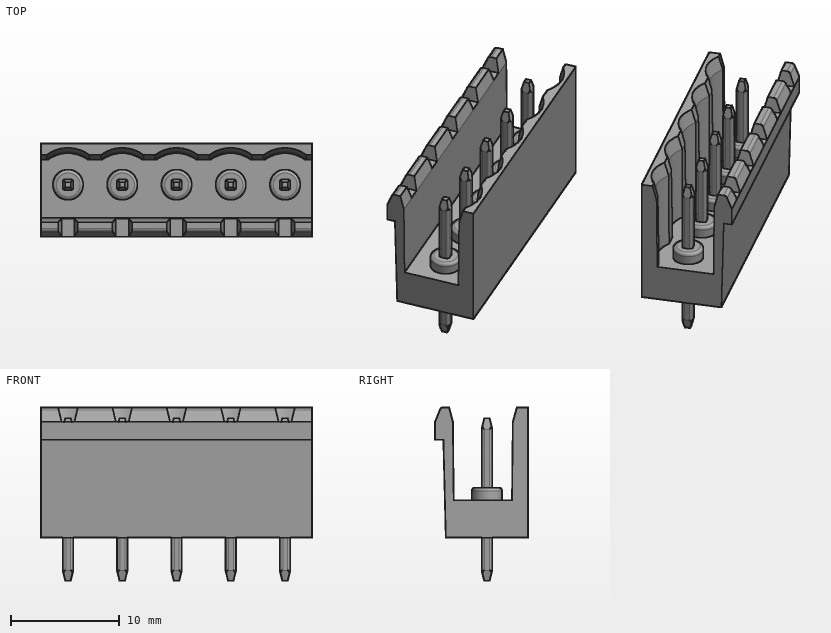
import cadquery as cq


pin_count = 5
pitch = 5.0
housing_length = pin_count * pitch
housing_height = 12.0
floor_z = 3.45
bevel_z = 10.65

back_y = 3.8
back_inner_floor_y = 2.3
back_inner_bevel_y = 2.38
back_inner_top_y = 2.75

scallop_radius = 3.2
scallop_peak_floor_y = 2.9
scallop_peak_bevel_y = 3.08
scallop_peak_top_y = 3.4

housing_depth = 8.6
front_inner_floor_y = -3.05
front_inner_bevel_y = -3.12
front_inner_top_y = -3.48
lip_front_y = back_y - housing_depth
lip_top_front_y = -4.25
lip_bottom_z = 9.0
lip_edge_radius = 0.35
front_outer_lip_y = -4.02
front_outer_base_y = -3.8

notch_bottom_width = 1.18
notch_top_width = 1.82

pin_width = 1.0
pin_corner_radius = 0.28
pin_tip_width = 0.5
pin_tip_length = 1.0
pin_top_z = 11.0
pin_bottom_z = -4.0
collar_diameter = 2.8
collar_height = 1.15
collar_edge_radius = 0.3

pin_positions = [(i - (pin_count - 1) / 2) * pitch for i in range(pin_count)]


def make_housing():
    """U-shaped profile extruded along the row, with the lip's top front edge rounded."""
    profile = [
        (back_y, 0),
        (back_y, housing_height),
        (back_inner_top_y, housing_height),
        (back_inner_bevel_y, bevel_z),
        (back_inner_floor_y, floor_z),
        (front_inner_floor_y, floor_z),
        (front_inner_bevel_y, bevel_z),
        (front_inner_top_y, housing_height),
        (lip_top_front_y, housing_height),
        (lip_front_y, bevel_z),
        (lip_front_y, lip_bottom_z),
        (front_outer_lip_y, lip_bottom_z),
        (front_outer_base_y, 0),
    ]
    housing = cq.Workplane("YZ").polyline(profile).close().extrude(housing_length / 2, both=True)
    lip_edge = cq.selectors.NearestToPointSelector((0, lip_top_front_y, housing_height))
    return housing.edges(lip_edge).fillet(lip_edge_radius)


def half_disc(x, peak_y, z):
    """Half disc bulging towards +Y, with its rearmost point at peak_y."""
    centre_y = peak_y - scallop_radius
    return (
        cq.Workplane("XY", origin=(x, centre_y, z))
        .moveTo(-scallop_radius, 0)
        .threePointArc((0, scallop_radius), (scallop_radius, 0))
        .close()
        .val()
    )


def make_scallop(x):
    """Cutter for one scallop: a near-upright stretch below a steeper flare."""
    bottom = half_disc(x, scallop_peak_floor_y, floor_z)
    middle = half_disc(x, scallop_peak_bevel_y, bevel_z)
    top = half_disc(x, scallop_peak_top_y, housing_height)
    return cq.Workplane(cq.Solid.makeLoft([bottom, middle, top], True))


def make_notch(x):
    """Cutter for one V-sided notch, running through the front wall from lip to cavity."""
    profile = [
        (-notch_bottom_width / 2, bevel_z),
        (notch_bottom_width / 2, bevel_z),
        (notch_top_width / 2, housing_height),
        (-notch_top_width / 2, housing_height),
    ]
    notch_depth = front_inner_bevel_y - lip_front_y
    return (
        cq.Workplane("XZ", origin=(x, front_inner_bevel_y, 0))
        .polyline(profile)
        .close()
        .extrude(notch_depth)
    )


def pin_side_envelope(plane):
    """Bar with both ends narrowed in one direction."""
    half_width = pin_width / 2
    half_tip = pin_tip_width / 2
    profile = [
        (-half_tip, pin_bottom_z),
        (half_tip, pin_bottom_z),
        (half_width, pin_bottom_z + pin_tip_length),
        (half_width, pin_top_z - pin_tip_length),
        (half_tip, pin_top_z),
        (-half_tip, pin_top_z),
        (-half_width, pin_top_z - pin_tip_length),
        (-half_width, pin_bottom_z + pin_tip_length),
    ]
    return cq.Workplane(plane).polyline(profile).close().extrude(pin_width, both=True)


def make_pin():
    """Square pin with rounded corners, pyramid tips and a round collar on the housing floor."""
    shank = (
        cq.Workplane("XY", origin=(0, 0, pin_bottom_z))
        .rect(pin_width, pin_width)
        .extrude(pin_top_z - pin_bottom_z)
        .edges("|Z")
        .fillet(pin_corner_radius)
    )
    pin = shank.intersect(pin_side_envelope("XZ")).intersect(pin_side_envelope("YZ"))
    collar = (
        cq.Workplane("XY", origin=(0, 0, floor_z))
        .circle(collar_diameter / 2)
        .extrude(collar_height)
        .faces(">Z")
        .edges()
        .fillet(collar_edge_radius)
    )
    return pin.union(collar)


result = make_housing()
pin = make_pin()
for x in pin_positions:
    result = result.cut(make_scallop(x)).cut(make_notch(x))
    result = result.union(pin.translate((x, 0, 0)))